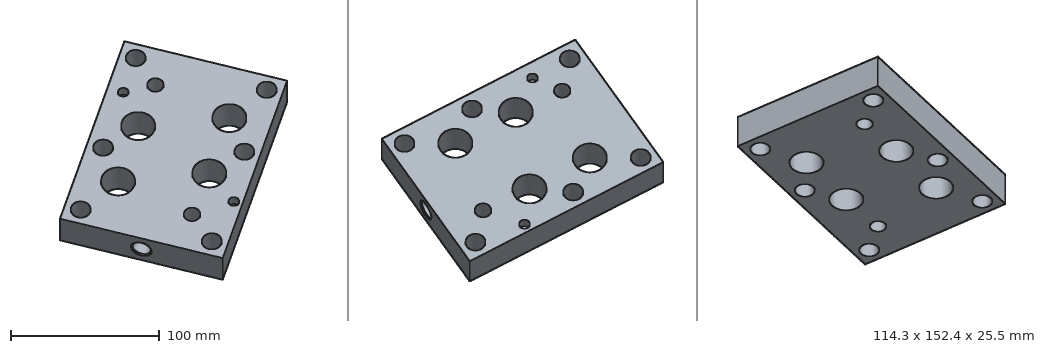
import cadquery as cq
import math

WIDTH = 114.3
LENGTH = 152.4
THICKNESS = 25.5

PATTERN_OFFSET_X = 0.2
ROW_PITCH = 11.9

BOLT_DIAMETER = 13.4
BOLT_X = 46.0
BOLT_CORNER_Y = 65.0

PASSAGE_DIAMETER = 23.0
PASSAGE_X = 28.5

PILOT_DIAMETER = 11.1
PILOT_X = 27.0

PIN_DIAMETER = 7.2
PIN_DEPTH = 8.0
OFFSET_PIN_X = 50.9
OFFSET_PIN_Y = -29.4

PORT_DIAMETER = 12.8
PORT_MOUTH_DIAMETER = 14.6
PORT_DEPTH = 22.9
DRILL_POINT_ANGLE = 118.0


def opposite_pair(x, y):
    """A point and the same point turned half a revolution about the pattern centre."""
    return [(x, y), (-x, -y)]


def drill(plate, diameter, points, depth=None):
    """Drill flat-bottomed holes from the top face, or through holes when no depth is given."""
    top = plate.faces(">Z").workplane(origin=(PATTERN_OFFSET_X, 0, 0))
    return top.pushPoints(points).hole(diameter, depth)


def port_cutter():
    """Round port with a 45 degree mouth chamfer and a conical drill point, running along +Y."""
    radius = PORT_DIAMETER / 2
    mouth_radius = PORT_MOUTH_DIAMETER / 2
    chamfer = mouth_radius - radius
    point_length = radius / math.tan(math.radians(DRILL_POINT_ANGLE / 2))
    profile = [
        (0, 0),
        (mouth_radius, 0),
        (radius, chamfer),
        (radius, PORT_DEPTH),
        (0, PORT_DEPTH + point_length),
    ]
    cutter = cq.Workplane("XY").polyline(profile).close().revolve(360, (0, 0), (0, 1))
    return cutter.translate((0, -LENGTH / 2, 0))


bolt_points = (
    opposite_pair(BOLT_X, BOLT_CORNER_Y)
    + opposite_pair(BOLT_X, -BOLT_CORNER_Y)
    + opposite_pair(BOLT_X, ROW_PITCH)
)
passage_points = opposite_pair(PASSAGE_X, 3 * ROW_PITCH) + opposite_pair(PASSAGE_X, -ROW_PITCH)
pilot_points = opposite_pair(PILOT_X, -4 * ROW_PITCH)
pin_points = [(-BOLT_X, 3 * ROW_PITCH), (OFFSET_PIN_X, OFFSET_PIN_Y)]

plate = cq.Workplane("XY").box(WIDTH, LENGTH, THICKNESS)
plate = drill(plate, BOLT_DIAMETER, bolt_points)
plate = drill(plate, PASSAGE_DIAMETER, passage_points)
plate = drill(plate, PILOT_DIAMETER, pilot_points)
plate = drill(plate, PIN_DIAMETER, pin_points, PIN_DEPTH)

result = plate.cut(port_cutter())